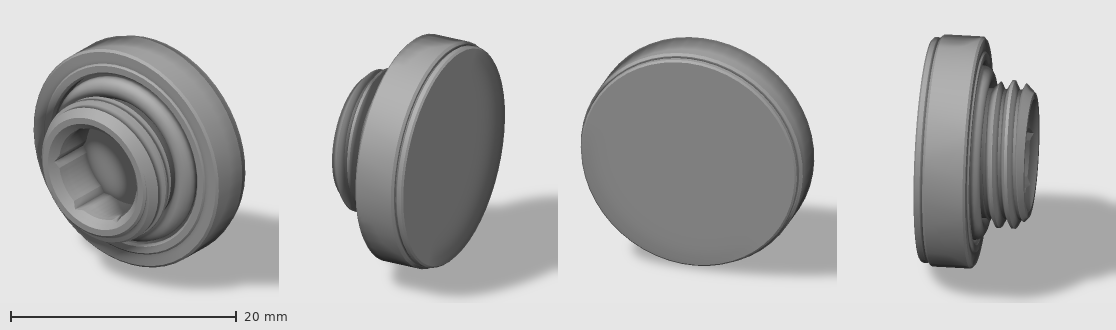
import cadquery as cq
import math


overall_length = 9.3

flange_radius = 10.3
flange_front_y = 4.65
flange_back_y = 8.49
flange_chamfer = 0.2

cap_radius = 10.01
cap_front_y = 8.57
cap_chamfer = 0.16
joint_radius = cap_radius - cap_chamfer

sealing_radius = 9.0
sealing_front_y = 4.5
sealing_chamfer = flange_front_y - sealing_front_y

thread_radius = 6.57
thread_pitch = 1.34
thread_root_radius = 5.77
thread_root_width = 0.25
thread_half_angle = 27.5
ridge_root_overlap = 0.08
crest_y_on_x_axis = 0.8
ridge_turns_before_crest = 2
ridge_start_y = crest_y_on_x_axis - ridge_turns_before_crest * thread_pitch
ridge_turns = 5
tip_radius = 5.58
runout_back_y = 3.67

neck_radius = thread_root_radius
ring_section_radius = 0.99
ring_front_y = 3.75
ring_center_radius = neck_radius + ring_section_radius
ring_center_y = ring_front_y + ring_section_radius
recess_radius = 8.01
recess_mouth_chamfer = 0.2
recess_floor_y = ring_center_y + ring_section_radius

hex_across_flats = 8.0
hex_half_side_angle = 180 / 6
hex_across_corners = hex_across_flats / math.cos(math.radians(hex_half_side_angle))
bore_radius = 4.3
socket_depth = 4.65
socket_mouth_radius = 5.0
socket_mouth_depth = socket_mouth_radius - bore_radius


def revolve_about_y(outline):
    """Full turn of a (radius, Y) outline about the Y axis."""
    points = [(y, radius) for radius, y in outline]
    return cq.Workplane("YZ").polyline(points).close().revolve(360, (0, 0, 0), (1, 0, 0))


def make_blank():
    """Plug with a plain stem, before the thread is added and the socket is cut."""
    return revolve_about_y([
        (0, 0),
        (tip_radius, 0),
        (neck_radius, neck_radius - tip_radius),
        (neck_radius, recess_floor_y),
        (recess_radius, recess_floor_y),
        (recess_radius, sealing_front_y + recess_mouth_chamfer),
        (recess_radius + recess_mouth_chamfer, sealing_front_y),
        (sealing_radius - sealing_chamfer, sealing_front_y),
        (sealing_radius, flange_front_y),
        (flange_radius - flange_chamfer, flange_front_y),
        (flange_radius, flange_front_y + flange_chamfer),
        (flange_radius, flange_back_y - flange_chamfer),
        (flange_radius - flange_chamfer, flange_back_y),
        (joint_radius, flange_back_y),
        (joint_radius, cap_front_y),
        (cap_radius, cap_front_y + cap_chamfer),
        (cap_radius, overall_length - cap_chamfer),
        (cap_radius - cap_chamfer, overall_length),
        (0, overall_length),
    ])


def make_thread_envelope():
    """Stem space with 45 degree cones that trim the thread at the tip and at the neck."""
    peak_y = (runout_back_y + neck_radius - tip_radius) / 2
    return revolve_about_y([
        (0, 0),
        (tip_radius, 0),
        (tip_radius + peak_y, peak_y),
        (neck_radius, runout_back_y),
        (0, runout_back_y),
    ])


def make_thread():
    """Right-handed helical ridge with a flat crest, rooted slightly inside the stem."""
    inner_radius = thread_root_radius - ridge_root_overlap
    flank_slope = math.tan(math.radians(thread_half_angle))
    root_half_width = (thread_pitch - thread_root_width) / 2
    inner_half_width = root_half_width + ridge_root_overlap * flank_slope
    crest_half_width = root_half_width - (thread_radius - thread_root_radius) * flank_slope
    path = cq.Wire.makeHelix(thread_pitch, ridge_turns * thread_pitch, inner_radius)
    ridge = (
        cq.Workplane("XZ")
        .polyline([
            (inner_radius, -inner_half_width),
            (thread_radius, -crest_half_width),
            (thread_radius, crest_half_width),
            (inner_radius, inner_half_width),
        ])
        .close()
        .sweep(cq.Workplane(path), isFrenet=True)
    )
    ridge = ridge.rotate((0, 0, 0), (1, 0, 0), -90).translate((0, ridge_start_y, 0))
    return make_thread_envelope().intersect(ridge)


def make_socket():
    """Hexagon with corners on the X axis, widened by a bore and a conical mouth."""
    hexagon = cq.Workplane("XZ").polygon(6, hex_across_corners).extrude(-socket_depth)
    bore = cq.Workplane("XZ").circle(bore_radius).extrude(-socket_depth)
    mouth = revolve_about_y([
        (0, 0),
        (socket_mouth_radius, 0),
        (bore_radius, socket_mouth_depth),
        (0, socket_mouth_depth),
    ])
    return hexagon.union(bore).union(mouth)


def make_plug():
    """Head, stem, thread and socket as one solid."""
    plug = make_blank().cut(make_socket()).union(make_thread())
    return plug.solids()


def make_seal_ring():
    """O-ring seated on the neck and on the recess floor."""
    return (
        cq.Workplane("XY")
        .center(ring_center_radius, ring_center_y)
        .circle(ring_section_radius)
        .revolve(360, (-ring_center_radius, 0, 0), (-ring_center_radius, 1, 0))
    )


plug = make_plug()
seal_ring = make_seal_ring()
result = cq.Compound.makeCompound([plug.val(), seal_ring.val()])